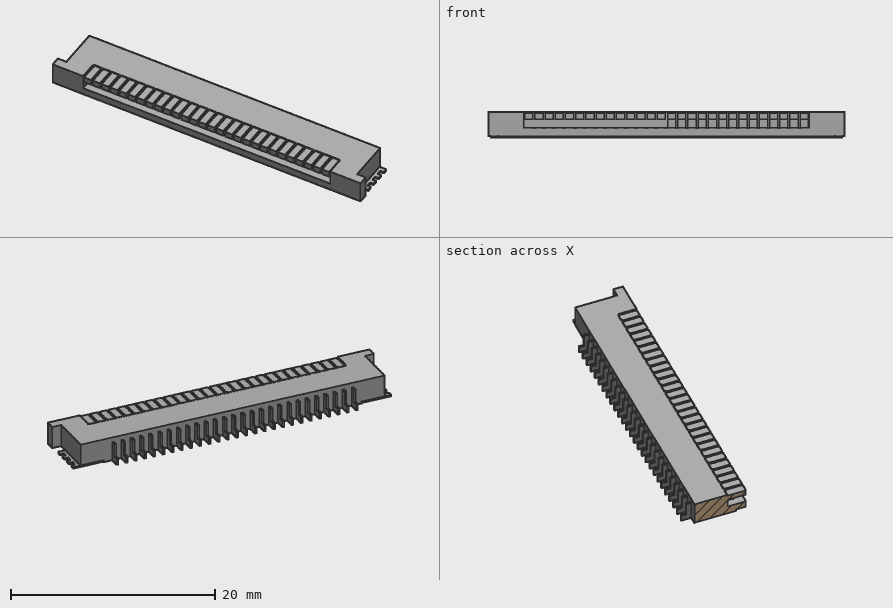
import cadquery as cq


contact_count = 27
contact_width = 0.2
tooth_count = contact_count + 1
mouth_length = 28.0
pitch = mouth_length / tooth_count

overall_length = 34.92
housing_length = 33.0
ear_depth = 1.0
housing_depth = 5.48
overall_height = 2.55
standoff = 0.17

mouth_floor = 0.98
mouth_depth = 2.0
rib_thickness = 0.1
contact_front = mouth_depth - rib_thickness
tooth_bottom = 1.8
tooth_drop = 0.1
groove_depth = 0.2

tail_back = 6.53
riser_back = 6.0
riser_top = 2.03
tail_top = 0.65

comb_length = 34.5
spine_length = 33.75
comb_front = 1.9
finger_count = 4
finger_width = pitch / 2


def block(x_range, y_range, z_range):
    """Axis-aligned block between the given limits."""
    (x0, x1), (y0, y1), (z0, z1) = x_range, y_range, z_range
    return cq.Workplane("XY").box(x1 - x0, y1 - y0, z1 - z0, centered=False).translate((x0, y0, z0))


def centred(length, middle=0.0):
    """Limits of a length placed evenly about its middle."""
    return (middle - length / 2, middle + length / 2)


def row_places(count):
    """X positions of evenly pitched items centred on the housing."""
    return [(i - (count - 1) / 2) * pitch for i in range(count)]


def make_housing():
    z_range = (standoff, overall_height)
    body = block(centred(housing_length), (0, housing_depth), z_range)
    ears = block(centred(overall_length), (0, ear_depth), z_range)
    return body.union(ears)


def make_mouth():
    """Space to cut for the cable mouth, open to the front and the top."""
    return block(centred(mouth_length), (0, mouth_depth), (mouth_floor, overall_height))


def make_left_back_wall():
    """Wall under the left half of the teeth, flush with the contact faces."""
    return block(
        (-mouth_length / 2, 0),
        (contact_front, mouth_depth),
        (mouth_floor, tooth_bottom),
    )


def make_grooves():
    """Floor grooves that give each contact room to bend."""
    grooves = cq.Workplane("XY")
    for x in row_places(contact_count):
        grooves = grooves.union(
            block(
                centred(contact_width, x),
                (ear_depth, contact_front),
                (mouth_floor - groove_depth, mouth_floor),
            )
        )
    return grooves


def make_teeth():
    """Row of bars that roofs the mouth, with a gap over every contact."""
    teeth = cq.Workplane("XY")
    for x in row_places(tooth_count):
        teeth = teeth.union(
            block(
                centred(pitch - contact_width, x),
                (0, mouth_depth),
                (tooth_bottom, overall_height - tooth_drop),
            )
        )
    return teeth


def make_ribs():
    """Contact faces standing proud of the back wall, one in every gap and at both ends of the row."""
    ribs = cq.Workplane("XY")
    for x in row_places(tooth_count + 1):
        ribs = ribs.union(
            block(
                centred(contact_width, x),
                (contact_front, mouth_depth),
                (mouth_floor, overall_height),
            )
        )
    return ribs


def make_tails():
    """Stepped solder tails, one per contact."""
    tails = cq.Workplane("XY")
    for x in row_places(contact_count):
        x_range = centred(contact_width, x)
        riser = block(x_range, (housing_depth, riser_back), (0, riser_top))
        foot = block(x_range, (housing_depth, tail_back), (0, tail_top))
        tails = tails.union(riser).union(foot)
    return tails


def make_base():
    """Base plate under the housing with a comb of solder fingers at each end."""
    z_range = (0, standoff)
    comb_back = comb_front + (finger_count - 1) * pitch + finger_width
    base = block(centred(mouth_length), (ear_depth, housing_depth), z_range)
    base = base.union(block(centred(spine_length), (comb_front, comb_back), z_range))
    for i in range(finger_count):
        y = comb_front + i * pitch
        base = base.union(block(centred(comb_length), (y, y + finger_width), z_range))
    return base


result = make_housing().cut(make_mouth()).cut(make_grooves())
result = result.union(make_teeth()).union(make_left_back_wall()).union(make_ribs())
result = result.union(make_base()).union(make_tails())